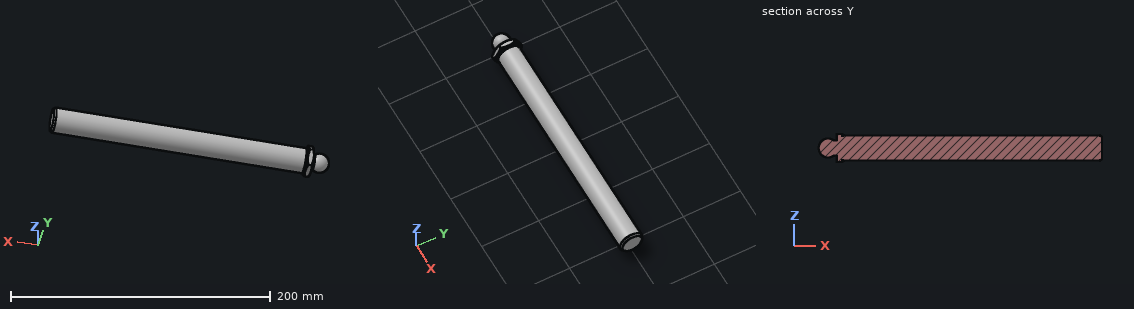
import cadquery as cq
import math

total_length = 219.0
ball_diameter = 15.1
neck_diameter = 12.0
hex_start = 14.0
hex_thickness = 4.5
hex_across_flats = 22.0
hex_face_diameter = 21.7
hex_bevel_angle = 30.0
shaft_diameter = 20.0
lead_in_length = 1.3
lead_in_depth = 0.7
end_chamfer_length = 1.8
end_chamfer_depth = 1.3

ball_radius = ball_diameter / 2
neck_radius = neck_diameter / 2
shaft_radius = shaft_diameter / 2
hex_middle = hex_start + hex_thickness / 2
hex_end = hex_start + hex_thickness
hex_across_corners = hex_across_flats / math.cos(math.pi / 6)


def revolve_about_x(profile):
    return profile.close().revolve(360, (0, 0, 0), (1, 0, 0))


def make_ball_and_neck():
    neck_start = ball_radius + math.sqrt(ball_radius**2 - neck_radius**2)
    return revolve_about_x(
        cq.Workplane("XY")
        .threePointArc((ball_radius, ball_radius), (neck_start, neck_radius))
        .lineTo(hex_middle, neck_radius)
        .lineTo(hex_middle, 0)
    )


def make_hex_collar():
    prism = (
        cq.Workplane("YZ", origin=(hex_start, 0, 0))
        .polygon(6, hex_across_corners)
        .extrude(hex_thickness)
    )
    face_radius = hex_face_diameter / 2
    cone_rise = hex_thickness / 2 / math.tan(math.radians(hex_bevel_angle))
    bevel_envelope = revolve_about_x(
        cq.Workplane("XY")
        .moveTo(hex_start, 0)
        .lineTo(hex_start, face_radius)
        .lineTo(hex_middle, face_radius + cone_rise)
        .lineTo(hex_end, face_radius)
        .lineTo(hex_end, 0)
    )
    return prism.intersect(bevel_envelope)


def make_shaft():
    return revolve_about_x(
        cq.Workplane("XY")
        .moveTo(hex_middle, 0)
        .lineTo(hex_middle, shaft_radius - lead_in_depth)
        .lineTo(hex_end, shaft_radius - lead_in_depth)
        .lineTo(hex_end + lead_in_length, shaft_radius)
        .lineTo(total_length - end_chamfer_length, shaft_radius)
        .lineTo(total_length, shaft_radius - end_chamfer_depth)
        .lineTo(total_length, 0)
    )


result = make_hex_collar().union(make_ball_and_neck()).union(make_shaft())